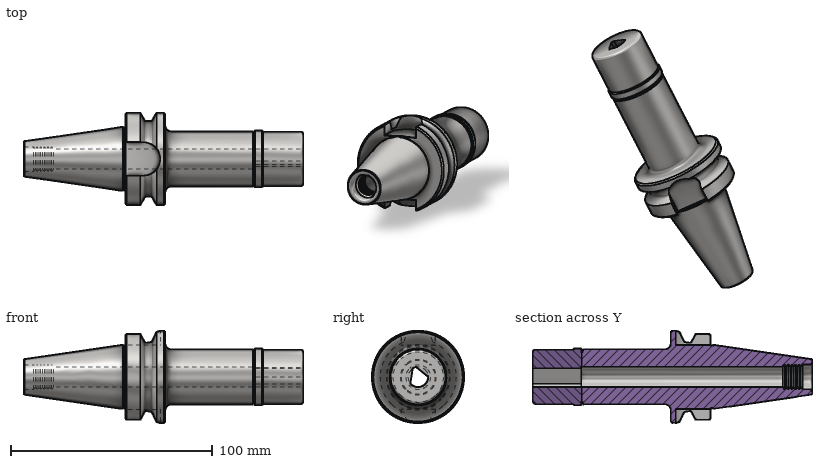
import cadquery as cq
import math

TOTAL_LENGTH = 138.8
FLANGE_START = 50.4
FLANGE_WIDTH = 20.0
FLANGE_END = FLANGE_START + FLANGE_WIDTH
NUT_START = 114.6

TAPER_LENGTH = 48.5
TAPER_LARGE_DIAMETER = 31.8
TAPER_LARGE_RADIUS = TAPER_LARGE_DIAMETER / 2
TAPER_SLOPE = 7 / 48
TAPER_SMALL_RADIUS = TAPER_LARGE_RADIUS - TAPER_LENGTH * TAPER_SLOPE
TAPER_END_CHAMFER = 0.4
RELIEF_START = 49.1
RELIEF_DEPTH = 0.4
RELIEF_FILLET = 0.8
RELIEF_RADIUS = TAPER_LARGE_RADIUS - RELIEF_DEPTH

FLANGE_DIAMETER = 46.0
FLANGE_RADIUS = FLANGE_DIAMETER / 2
FLANGE_CHAMFER = 0.8
V_GROOVE_RADIUS = 18.9
V_GROOVE_CENTER = 61.9
V_GROOVE_FILLET = 0.5
V_GROOVE_FLOOR_WIDTH = 3.3
V_GROOVE_WALL_ANGLE = 30.0
V_GROOVE_FLOOR_HALF = V_GROOVE_FLOOR_WIDTH / 2
V_GROOVE_MOUTH_HALF = V_GROOVE_FLOOR_HALF + (
    (FLANGE_RADIUS - V_GROOVE_RADIUS) * math.tan(math.radians(V_GROOVE_WALL_ANGLE))
)

SLOT_WIDTH = 16.5
SLOT_END = 67.7
SLOT_FLOOR_HEIGHT = 16.0
SLOT_CHAMFER = 0.3

NECK_RADIUS = 13.7
NECK_FILLET = 2.8
NECK_CHAMFER = 0.4
NECK_END = 114.1
GAP_RADIUS = 12.5

NUT_RADIUS = 13.6
COLLAR_RADIUS = 14.2
COLLAR_CHAMFER_LENGTH = 0.4
COLLAR_CHAMFER_DEPTH = 0.3
COLLAR_WIDTH = 3.5
COLLAR_STEP_LENGTH = 0.7
NUT_END_FILLET = 1.4

BORE_RADIUS = 5.0
COUNTERBORE_RADIUS = 6.1
COUNTERBORE_DEPTH = 4.7
MOUTH_ROUNDING = 1.2
THREAD_PITCH = 1.8
THREAD_TURNS = 6
FLAT_DISTANCE = 3.2
FLAT_ANGLES = (51.0, 171.0)


def revolved_about_x(profile):
    """Solid of revolution of a closed profile drawn as (x, radius)."""
    return profile.close().revolve(360, (0, 0, 0), (1, 0, 0))


def holder_blank():
    """Taper, grooved flange and neck."""
    relief_middle = RELIEF_FILLET * (1 - math.sqrt(0.5))
    fillet_middle = NECK_FILLET * (1 - math.sqrt(0.5))
    profile = (
        cq.Workplane("XZ")
        .moveTo(0, 0)
        .lineTo(0, TAPER_SMALL_RADIUS - TAPER_END_CHAMFER)
        .lineTo(TAPER_END_CHAMFER, TAPER_SMALL_RADIUS + TAPER_END_CHAMFER * TAPER_SLOPE)
        .lineTo(TAPER_LENGTH, TAPER_LARGE_RADIUS)
        .lineTo(RELIEF_START, TAPER_LARGE_RADIUS)
        .lineTo(FLANGE_START - RELIEF_FILLET, RELIEF_RADIUS)
        .threePointArc(
            (FLANGE_START - relief_middle, RELIEF_RADIUS + relief_middle),
            (FLANGE_START, RELIEF_RADIUS + RELIEF_FILLET),
        )
        .lineTo(FLANGE_START, FLANGE_RADIUS - FLANGE_CHAMFER)
        .lineTo(FLANGE_START + FLANGE_CHAMFER, FLANGE_RADIUS)
        .lineTo(V_GROOVE_CENTER - V_GROOVE_MOUTH_HALF, FLANGE_RADIUS)
        .lineTo(V_GROOVE_CENTER - V_GROOVE_FLOOR_HALF, V_GROOVE_RADIUS)
        .lineTo(V_GROOVE_CENTER + V_GROOVE_FLOOR_HALF, V_GROOVE_RADIUS)
        .lineTo(V_GROOVE_CENTER + V_GROOVE_MOUTH_HALF, FLANGE_RADIUS)
        .lineTo(FLANGE_END - FLANGE_CHAMFER, FLANGE_RADIUS)
        .lineTo(FLANGE_END, FLANGE_RADIUS - FLANGE_CHAMFER)
        .lineTo(FLANGE_END, NECK_RADIUS + NECK_FILLET)
        .threePointArc(
            (FLANGE_END + fillet_middle, NECK_RADIUS + fillet_middle),
            (FLANGE_END + NECK_FILLET, NECK_RADIUS),
        )
        .lineTo(NECK_END - NECK_CHAMFER, NECK_RADIUS)
        .lineTo(NECK_END, NECK_RADIUS - NECK_CHAMFER)
        .lineTo(NECK_END, GAP_RADIUS)
        .lineTo(NUT_START, GAP_RADIUS)
        .lineTo(NUT_START, 0)
    )
    return revolved_about_x(profile)


def drive_slot():
    """Round-ended slot cutter above its floor, with side walls flared at the flange face."""
    half_width = SLOT_WIDTH / 2
    arc_center = SLOT_END - half_width
    flare_end = FLANGE_START + SLOT_CHAMFER
    return (
        cq.Workplane("XY", origin=(0, 0, SLOT_FLOOR_HEIGHT))
        .moveTo(FLANGE_START, -half_width - SLOT_CHAMFER)
        .lineTo(flare_end, -half_width)
        .lineTo(arc_center, -half_width)
        .threePointArc((SLOT_END, 0), (arc_center, half_width))
        .lineTo(flare_end, half_width)
        .lineTo(FLANGE_START, half_width + SLOT_CHAMFER)
        .close()
        .extrude(FLANGE_RADIUS - SLOT_FLOOR_HEIGHT)
    )


def slot_floor_chamfer():
    """Cutter for the chamfer where the slot floor meets the flange face."""
    return (
        cq.Workplane("XZ")
        .moveTo(FLANGE_START, SLOT_FLOOR_HEIGHT - SLOT_CHAMFER)
        .lineTo(FLANGE_START + SLOT_CHAMFER, SLOT_FLOOR_HEIGHT)
        .lineTo(FLANGE_START, SLOT_FLOOR_HEIGHT)
        .close()
        .extrude(SLOT_WIDTH / 2, both=True)
    )


def slot_rim_chamfer():
    """Cutter that flares the slot walls where they meet the outside of the flange."""
    half_width = SLOT_WIDTH / 2
    rim_height = math.sqrt(FLANGE_RADIUS**2 - half_width**2)
    flare_start = rim_height - SLOT_CHAMFER
    flare_top = half_width + FLANGE_RADIUS - flare_start
    return (
        cq.Workplane("YZ", origin=(FLANGE_START, 0, 0))
        .moveTo(-half_width, flare_start)
        .lineTo(half_width, flare_start)
        .lineTo(flare_top, FLANGE_RADIUS)
        .lineTo(-flare_top, FLANGE_RADIUS)
        .close()
        .extrude(V_GROOVE_CENTER - FLANGE_START)
    )


def holder_bore():
    """Through bore with a rounded mouth, a counterbore and a thread simplified to V-shaped rings."""
    rounding_middle = MOUTH_ROUNDING * (1 - math.sqrt(0.5))
    profile = (
        cq.Workplane("XZ")
        .moveTo(0, 0)
        .lineTo(0, COUNTERBORE_RADIUS + MOUTH_ROUNDING)
        .threePointArc(
            (rounding_middle, COUNTERBORE_RADIUS + rounding_middle),
            (MOUTH_ROUNDING, COUNTERBORE_RADIUS),
        )
    )
    for turn in range(THREAD_TURNS):
        root_x = COUNTERBORE_DEPTH + turn * THREAD_PITCH
        profile = profile.lineTo(root_x, COUNTERBORE_RADIUS)
        profile = profile.lineTo(root_x + THREAD_PITCH / 2, BORE_RADIUS)
    profile = profile.lineTo(NUT_START, BORE_RADIUS).lineTo(NUT_START, 0)
    return revolved_about_x(profile)


def v_groove_floor_corners():
    """Selector for the two circular edges at the foot of the V-groove."""
    return cq.selectors.BoxSelector(
        (V_GROOVE_CENTER - V_GROOVE_FLOOR_WIDTH, -V_GROOVE_RADIUS, -V_GROOVE_RADIUS),
        (V_GROOVE_CENTER + V_GROOVE_FLOOR_WIDTH, V_GROOVE_RADIUS, V_GROOVE_RADIUS),
    )


def make_holder():
    blank = holder_blank().edges(v_groove_floor_corners()).fillet(V_GROOVE_FILLET)
    holder = blank.cut(holder_bore())
    slot_cutters = (drive_slot(), slot_floor_chamfer(), slot_rim_chamfer())
    for angle in (0, 180):
        for cutter in slot_cutters:
            holder = holder.cut(cutter.rotate((0, 0, 0), (1, 0, 0), angle))
    return holder


def nut_blank():
    """Sleeve with a raised collar next to the holder."""
    collar_end = NUT_START + COLLAR_WIDTH
    profile = (
        cq.Workplane("XZ")
        .moveTo(NUT_START, 0)
        .lineTo(NUT_START, COLLAR_RADIUS - COLLAR_CHAMFER_DEPTH)
        .lineTo(NUT_START + COLLAR_CHAMFER_LENGTH, COLLAR_RADIUS)
        .lineTo(collar_end, COLLAR_RADIUS)
        .lineTo(collar_end + COLLAR_STEP_LENGTH, NUT_RADIUS)
        .lineTo(TOTAL_LENGTH, NUT_RADIUS)
        .lineTo(TOTAL_LENGTH, 0)
    )
    return revolved_about_x(profile).faces(">X").edges().fillet(NUT_END_FILLET)


def nut_opening():
    """Round through opening with two flats."""
    nut_length = TOTAL_LENGTH - NUT_START
    opening = cq.Workplane("YZ", origin=(NUT_START, 0, 0)).circle(BORE_RADIUS).extrude(nut_length)
    for angle in FLAT_ANGLES:
        beyond_flat = (
            cq.Workplane("YZ", origin=(NUT_START, 0, 0))
            .center(FLAT_DISTANCE + BORE_RADIUS, 0)
            .rect(2 * BORE_RADIUS, 2 * BORE_RADIUS)
            .extrude(nut_length)
            .rotate((0, 0, 0), (1, 0, 0), angle)
        )
        opening = opening.cut(beyond_flat)
    return opening


def make_nut():
    return nut_blank().cut(nut_opening())


holder = make_holder()
nut = make_nut()

result = cq.Compound.makeCompound([holder.val(), nut.val()])